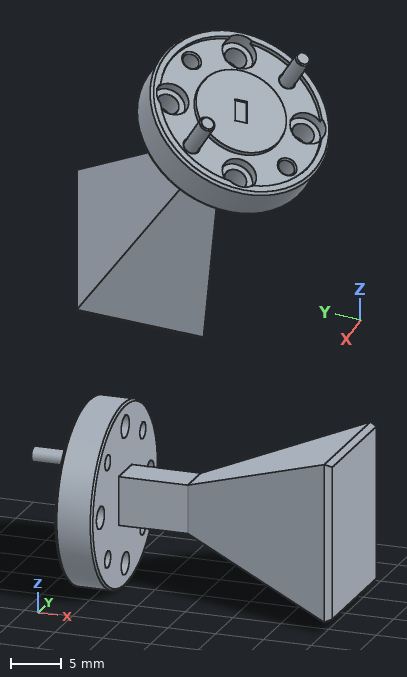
import cadquery as cq
import math


flange_diameter = 19.05
flange_thickness = 3.97
front_edge_chamfer = 0.27
back_edge_chamfer = 0.2

groove_inner_diameter = 9.54
groove_outer_diameter = 17.2
groove_depth = 0.5

hole_circle_radius = 7.14
screw_hole_diameter = 2.3
counterbore_diameter = 3.58
counterbore_depth = 1.5
screw_angles = [0, 90, 180, 270]

free_hole_diameter = 1.7
free_hole_chamfer = 0.17
pin_hole_chamfer = 0.08
free_hole_angles = [45, 225]
pin_angles = [135, 315]

pin_diameter = 1.587
pin_protrusion = 3.86
pin_tip_chamfer = 0.14

window_width = 1.27
window_height = 2 * window_width
window_depth = 0.25

horn_wall = 1.27
neck_width = window_width + 2 * horn_wall
neck_height = window_height + 2 * horn_wall
neck_length = 7.23
flare_width = 13.4
flare_height = 16.5
flare_end = 27.23
rim_width = 12.65
rim_height = 15.9
overall_length = 31.81
horn_end = overall_length - pin_protrusion


def plane_at(x):
    """Cross-section plane facing +X, with its local axes along Y and Z."""
    return cq.Workplane("YZ", origin=(x, 0, 0))


def bolt_circle(angles):
    """Points (Y, Z) on the hole circle; an angle of 0 is on +Y and 90 is on +Z."""
    return [
        (
            hole_circle_radius * math.cos(math.radians(angle)),
            hole_circle_radius * math.sin(math.radians(angle)),
        )
        for angle in angles
    ]


def cylinders(x, points, diameter, length):
    return plane_at(x).pushPoints(points).circle(diameter / 2).extrude(length)


def dowel_hole(point, diameter, chamfer):
    """Cutter for a through hole with a chamfered mouth at the groove floor."""
    bore = cylinders(0, [point], diameter, flange_thickness)
    mouth = cq.Solid.makeCone(
        diameter / 2 + chamfer,
        diameter / 2,
        chamfer,
        pnt=cq.Vector(groove_depth, *point),
        dir=cq.Vector(1, 0, 0),
    )
    return bore.union(cq.Workplane(mouth))


def make_flange():
    flange = plane_at(0).circle(flange_diameter / 2).extrude(flange_thickness)
    flange = flange.faces("<X").chamfer(front_edge_chamfer)
    flange = flange.faces(">X").chamfer(back_edge_chamfer)

    groove = (
        plane_at(0)
        .circle(groove_outer_diameter / 2)
        .circle(groove_inner_diameter / 2)
        .extrude(groove_depth)
    )
    flange = flange.cut(groove)

    screw_points = bolt_circle(screw_angles)
    flange = flange.cut(cylinders(0, screw_points, screw_hole_diameter, flange_thickness))
    flange = flange.cut(cylinders(0, screw_points, counterbore_diameter, counterbore_depth))

    for point in bolt_circle(free_hole_angles):
        flange = flange.cut(dowel_hole(point, free_hole_diameter, free_hole_chamfer))
    for point in bolt_circle(pin_angles):
        flange = flange.cut(dowel_hole(point, pin_diameter, pin_hole_chamfer))

    window = plane_at(0).rect(window_width, window_height).extrude(window_depth)
    return flange.cut(window)


def make_pin(point):
    length = pin_protrusion + flange_thickness
    pin = cylinders(-pin_protrusion, [point], pin_diameter, length)
    return pin.faces("<X").chamfer(pin_tip_chamfer)


def tapered_block(x_start, start_size, x_end, end_size):
    """Solid running from one centred rectangle to another along X."""
    return (
        plane_at(x_start)
        .rect(*start_size)
        .workplane(offset=x_end - x_start)
        .rect(*end_size)
        .loft(ruled=True)
    )


def make_horn():
    neck_size = (neck_width, neck_height)
    flare_size = (flare_width, flare_height)
    neck_end = flange_thickness + neck_length
    neck = plane_at(flange_thickness).rect(*neck_size).extrude(neck_length)
    flare = tapered_block(neck_end, neck_size, flare_end, flare_size)
    rim = tapered_block(flare_end, flare_size, horn_end, (rim_width, rim_height))
    return neck.union(flare).union(rim)


flange = make_flange()
horn = make_horn()
pins = [make_pin(point) for point in bolt_circle(pin_angles)]

result = cq.Compound.makeCompound([flange.val(), horn.val(), *[pin.val() for pin in pins]])